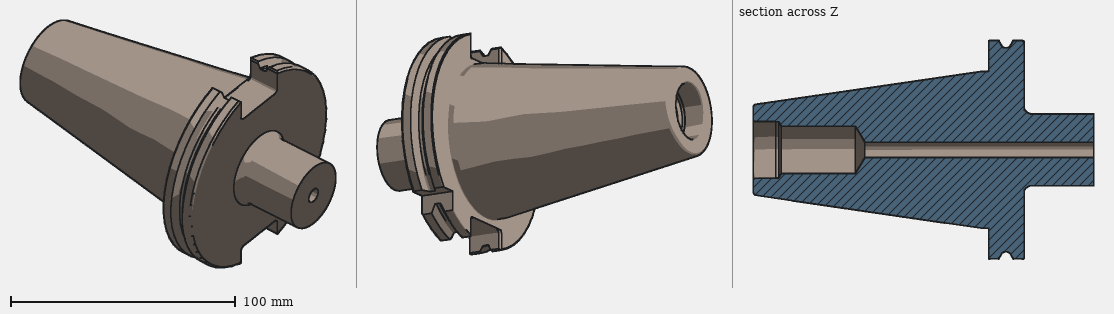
import cadquery as cq
import math

taper_length = 101.5
gauge_diameter = 69.9
taper_ratio = 7 / 24
nose_fillet = 1.5

neck_length = 3.2
neck_fillet = 0.5
flange_radius = 48.74
flange_width = 15.9
flange_front_fillet = 0.5
flange_back_fillet = 0.9

groove_center = 10.9
groove_depth = 3.2
groove_floor_width = 2.7
groove_half_angle = 30
groove_fillet = 0.9

shank_radius = 16.0
shank_end = 50.0
collar_rise = 2.1
collar_length = 3.6

slot_width = 25.8
top_slot_floor = 35.5
bottom_slot_floor = 37.6
slot_corner_radius = 2.0
slot_chamfer = 0.9

notch_offset = 29.9

mouth_fillet = 0.9
counterbore_radius = 12.6
counterbore_depth = 10.0
relief_radius = 12.5
relief_length = 1.4
drill_radius = 10.5
drill_depth = 45.5
bore_cone_angle = 118
coolant_radius = 3.3

tolerance = 0.002
nose_x = -taper_length
gauge_radius = gauge_diameter / 2
nose_radius = gauge_radius - taper_length * taper_ratio / 2
flange_front = neck_length
flange_back = flange_front + flange_width
collar_end = flange_back + collar_length
groove_floor_radius = flange_radius - groove_depth
half_groove_floor = groove_floor_width / 2
half_groove_mouth = half_groove_floor + groove_depth * math.tan(math.radians(groove_half_angle))


def revolve_on_axis(outline):
    """Close an outline of X and radius and revolve it around X."""
    return outline.close().revolve(360, (0, 0, 0), (1, 0, 0))


def fillet_rim(body, x, radius, fillet):
    """Round the circular edge with the given place and radius on the axis."""

    def is_rim(edge):
        return abs(edge.Center().x - x) < tolerance and abs(edge.radius() - radius) < tolerance

    return body.edges("%CIRCLE").filter(is_rim).fillet(fillet)


def turned_body():
    """Taper, neck, grooved flange, collar and shank."""
    collar_radius = (collar_length**2 + collar_rise**2) / (2 * collar_rise)
    outline = cq.Workplane("XY").polyline([
        (nose_x, 0),
        (nose_x, nose_radius),
        (0, gauge_radius),
        (flange_front, gauge_radius),
        (flange_front, flange_radius),
        (groove_center - half_groove_mouth, flange_radius),
        (groove_center - half_groove_floor, groove_floor_radius),
        (groove_center + half_groove_floor, groove_floor_radius),
        (groove_center + half_groove_mouth, flange_radius),
        (flange_back, flange_radius),
        (flange_back, shank_radius + collar_rise),
    ])
    outline = outline.radiusArc((collar_end, shank_radius), -collar_radius)
    outline = outline.lineTo(shank_end, shank_radius).lineTo(shank_end, 0)
    body = revolve_on_axis(outline)
    body = fillet_rim(body, nose_x, nose_radius, nose_fillet)
    body = fillet_rim(body, flange_front, gauge_radius, neck_fillet)
    body = fillet_rim(body, flange_front, flange_radius, flange_front_fillet)
    body = fillet_rim(body, flange_back, flange_radius, flange_back_fillet)
    for side in (-1, 1):
        body = fillet_rim(body, groove_center + side * half_groove_floor, groove_floor_radius, groove_fillet)
    return body


def bore():
    """Counterbore with a shallow relief, countersunk drill hole, and coolant hole through the shank."""
    cone_slope = math.tan(math.radians(bore_cone_angle / 2))
    counterbore_end = nose_x + counterbore_depth
    relief_end = counterbore_end + relief_length
    countersink_end = relief_end + (relief_radius - drill_radius) / cone_slope
    drill_end = nose_x + drill_depth
    drill_point_end = drill_end + (drill_radius - coolant_radius) / cone_slope
    outline = cq.Workplane("XY").polyline([
        (nose_x, 0),
        (nose_x, counterbore_radius),
        (counterbore_end, counterbore_radius),
        (counterbore_end, relief_radius),
        (relief_end, relief_radius),
        (countersink_end, drill_radius),
        (drill_end, drill_radius),
        (drill_point_end, coolant_radius),
        (shank_end, coolant_radius),
        (shank_end, 0),
    ])
    return revolve_on_axis(outline)


def slot_prism(slot_floor, margin, length, taper):
    """Open-topped slot with rounded lower corners, grown sideways and down by a margin."""
    half_width = slot_width / 2 + margin
    floor = slot_floor - margin
    corner = slot_corner_radius + margin
    return (
        cq.Workplane("YZ", origin=(flange_front, 0, 0))
        .moveTo(-half_width, 2 * flange_radius)
        .lineTo(-half_width, floor + corner)
        .radiusArc((-half_width + corner, floor), -corner)
        .lineTo(half_width - corner, floor)
        .radiusArc((half_width, floor + corner), -corner)
        .lineTo(half_width, 2 * flange_radius)
        .close()
        .extrude(length, taper=taper)
    )


def drive_slot(slot_floor):
    """Slot at +Z with bevelled front and rim edges on its walls."""
    slot = slot_prism(slot_floor, 0, flange_width, 0)

    front_bevel = slot_prism(slot_floor, slot_chamfer, slot_chamfer, 45)
    above_floor = cq.Workplane("XY", origin=(flange_front, 0, slot_floor)).rect(
        flange_width, 2 * flange_radius).extrude(flange_radius)
    slot = slot.union(front_bevel.intersect(above_floor))

    half_width = slot_width / 2
    bevel_bottom = math.sqrt(flange_radius**2 - half_width**2) - slot_chamfer
    bevel_size = 3 * slot_chamfer
    rim_bevel = cq.Workplane("YZ", origin=(flange_front, 0, 0)).polyline([
        (-half_width, bevel_bottom),
        (half_width, bevel_bottom),
        (half_width + bevel_size, bevel_bottom + bevel_size),
        (-half_width - bevel_size, bevel_bottom + bevel_size),
    ]).close().extrude(flange_width)
    return slot.union(rim_bevel)


def corner_notch():
    size = flange_radius - notch_offset
    return cq.Workplane("XY").box(flange_width, size, size, centered=False).translate(
        (flange_front, notch_offset, -flange_radius))


result = turned_body().cut(bore())
result = fillet_rim(result, nose_x, counterbore_radius, mouth_fillet)
result = result.cut(drive_slot(top_slot_floor))
result = result.cut(drive_slot(bottom_slot_floor).mirror("XY"))
result = result.cut(corner_notch())